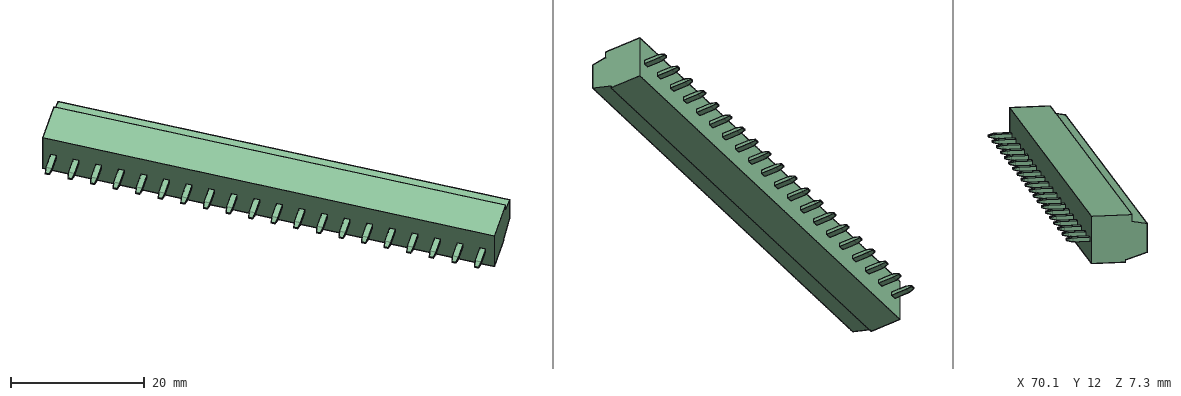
import cadquery as cq

length = 70.1
total_depth = 12.0
height = 7.3
pin_reach = 3.5
body_depth = total_depth - pin_reach

ledge_depth = 2.3
ledge_inner_drop = 1.05
ledge_outer_drop = 1.5

undercut_depth = 3.3
undercut_step = 0.35
undercut_rise = 1.4

pin_count = 20
pin_pitch = length / pin_count
first_pin_x = 1.7
pin_z = 3.4
pin_width = 0.9
pin_thickness = 0.6
tip_length = 0.9
tip_end_width = 0.6
tip_end_thickness = 0.2


def housing():
    """Side profile in the YZ plane, front face at Y = 0, extruded along X."""
    profile = [
        (0, 0),
        (body_depth - undercut_depth, 0),
        (body_depth - undercut_depth, undercut_step),
        (body_depth, undercut_rise),
        (body_depth, height - ledge_outer_drop),
        (body_depth - ledge_depth, height - ledge_inner_drop),
        (body_depth - ledge_depth, height),
        (0, height),
    ]
    return cq.Workplane("YZ").polyline(profile).close().extrude(length)


def pin(x):
    """Straight pin with a tapered tip, pointing toward -Y from the front face."""
    shank = (
        cq.Workplane("XZ", origin=(x, 0, pin_z))
        .rect(pin_width, pin_thickness)
        .extrude(pin_reach - tip_length)
    )
    tip = (
        shank.faces("<Y")
        .workplane(centerOption="CenterOfMass")
        .rect(pin_width, pin_thickness)
        .workplane(offset=tip_length)
        .rect(tip_end_width, tip_end_thickness)
        .loft(combine=False)
    )
    return shank.union(tip)


result = housing()
for index in range(pin_count):
    result = result.union(pin(first_pin_x + index * pin_pitch))